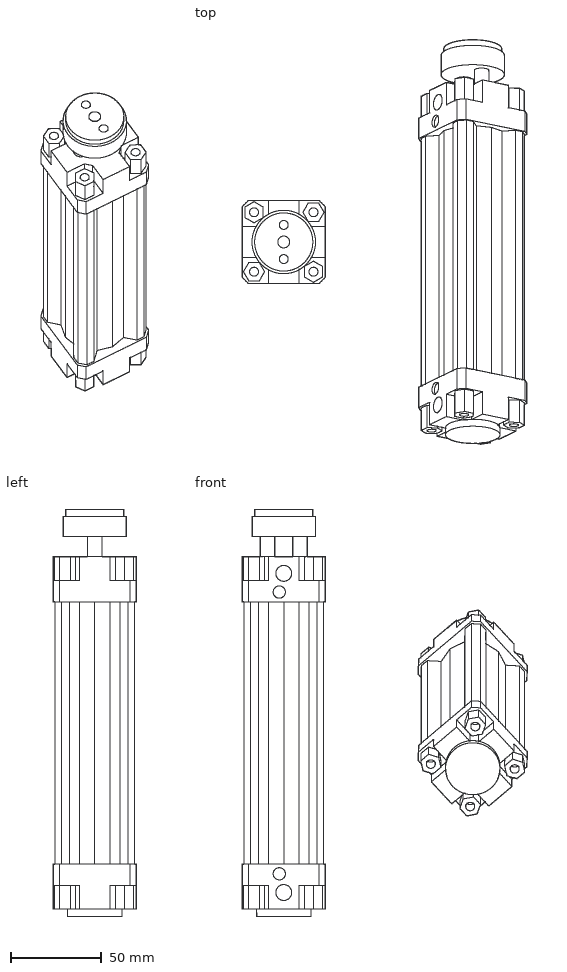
import cadquery as cq
import math

total_height = 224.0
pad_height = 4.0
housing_top = 198.0
plate_bottom = 209.0

cap_width = 46.0
cap_height = 24.9
cap_chamfer = 3.5
arm_half_width = 8.5
pocket_depth = 13.0
pocket_corner_chamfer = 3.4
pad_diameter = 30.0

nut_offset = 16.4
nut_across_flats = 10.0
nut_hole_diameter = 5.0
nut_hole_depth = 11.2
drill_tip_angle = 118.0

port_diameter = 8.7
port_inset = 9.2
port_depth = 9.0
screw_hole_diameter = 6.7
screw_hole_inset = 19.5
screw_hole_shift = -2.5
screw_hole_depth = 1.5

barrel_width = 44.0
barrel_chamfer = 3.5
groove_mouth_half = 14.0
groove_floor_half = 8.5
groove_ridge_depth = 3.1

plate_diameter = 35.0
spigot_diameter = 32.0
spigot_height = 3.8
rod_diameter = 8.0
rod_offset = 9.0
plate_hole_diameter = 6.5
plate_side_hole_diameter = 5.0
plate_side_hole_offset = 9.5
plate_hole_depth = 9.0

housing_middle = (pad_height + housing_top) / 2


def corner_points(offset):
    return [(sx * offset, sy * offset) for sx in (-1, 1) for sy in (-1, 1)]


def corner_pockets():
    """Four square pockets with one chamfered inner edge, cut down from the cap's end face."""
    size = cap_width / 2
    centre = arm_half_width + size / 2
    pockets = cq.Workplane("XY").workplane(offset=housing_top - pocket_depth)
    pockets = pockets.pushPoints(corner_points(centre)).rect(size, size).extrude(pocket_depth)
    inner_edges = cq.selectors.BoxSelector((-centre, -centre, 0), (centre, centre, total_height))
    return pockets.edges("|Z").edges(inner_edges).chamfer(pocket_corner_chamfer)


def drilled_hole(diameter, depth):
    """Drill shape pointing down from the origin, with a conical tip."""
    radius = diameter / 2
    tip = radius / math.tan(math.radians(drill_tip_angle / 2))
    profile = [(0, 0), (radius, 0), (radius, -depth), (0, -depth - tip)]
    return cq.Workplane("XZ").polyline(profile).close().revolve(360, (0, 0, 0), (0, 1, 0))


def add_corner_nuts(cap):
    """Hexagonal nuts standing in the pockets, each turned a quarter turn from its neighbours."""
    hexagon_diameter = nut_across_flats / math.cos(math.pi / 6)
    hole = drilled_hole(nut_hole_diameter, nut_hole_depth)
    for x, y in corner_points(nut_offset):
        turn = 0 if x * y > 0 else 90
        nut = cq.Workplane("XY").polygon(6, hexagon_diameter).extrude(pocket_depth)
        nut = nut.rotate((0, 0, 0), (0, 0, 1), turn)
        cap = cap.union(nut.translate((x, y, housing_top - pocket_depth)))
        cap = cap.cut(hole.translate((x, y, housing_top)))
    return cap


def front_hole(x, inset, diameter, depth):
    """Blind hole drilled into the cap from its -Y face."""
    hole = cq.Workplane("XZ").circle(diameter / 2).extrude(-depth)
    return hole.translate((x, -cap_width / 2, housing_top - inset))


def make_cap():
    """Upper end cap; the lower one is its mirror image."""
    cap = cq.Workplane("XY").workplane(offset=housing_top - cap_height)
    cap = cap.rect(cap_width, cap_width).extrude(cap_height)
    cap = cap.edges("|Z").chamfer(cap_chamfer)
    cap = add_corner_nuts(cap.cut(corner_pockets()))
    cap = cap.cut(front_hole(0, port_inset, port_diameter, port_depth))
    return cap.cut(front_hole(screw_hole_shift, screw_hole_inset, screw_hole_diameter, screw_hole_depth))


def make_barrel():
    """Chamfered square tube body with a 45 degree groove, ridged along its floor, on every side."""
    half = barrel_width / 2
    floor = -half + (groove_mouth_half - groove_floor_half)
    ridge = -half + groove_ridge_depth
    length = housing_top - pad_height - 2 * cap_height
    base = cq.Workplane("XY").workplane(offset=pad_height + cap_height)
    barrel = base.rect(barrel_width, barrel_width).extrude(length)
    barrel = barrel.edges("|Z").chamfer(barrel_chamfer)
    groove = base.polyline([
        (-groove_mouth_half, -half),
        (-groove_floor_half, floor),
        (0, ridge),
        (groove_floor_half, floor),
        (groove_mouth_half, -half),
    ]).close().extrude(length)
    for side in range(4):
        barrel = barrel.cut(groove.rotate((0, 0, 0), (0, 0, 1), 90 * side))
    return barrel


def make_housing():
    """Barrel, both end caps and the round locating pad as one solid."""
    upper_cap = make_cap()
    lower_cap = upper_cap.mirror("XY", (0, 0, housing_middle))
    pad = cq.Workplane("XY").circle(pad_diameter / 2).extrude(pad_height)
    return make_barrel().union(upper_cap).union(lower_cap).union(pad)


def make_plunger():
    """Round plate with its spigot, carried by two rods that rest on the housing."""
    spigot_bottom = total_height - spigot_height
    plate = cq.Workplane("XY").workplane(offset=plate_bottom)
    plate = plate.circle(plate_diameter / 2).extrude(spigot_bottom - plate_bottom)
    plate = plate.faces(">Z").workplane().circle(spigot_diameter / 2).extrude(spigot_height)
    plate = plate.faces(">Z").workplane().hole(plate_hole_diameter, plate_hole_depth)
    side_holes = [(0, -plate_side_hole_offset), (0, plate_side_hole_offset)]
    plate = plate.faces(">Z").workplane(origin=(0, 0, total_height)).pushPoints(side_holes)
    plate = plate.hole(plate_side_hole_diameter, plate_hole_depth)
    rods = cq.Workplane("XY").workplane(offset=housing_top)
    rods = rods.pushPoints([(-rod_offset, 0), (rod_offset, 0)]).circle(rod_diameter / 2)
    return plate.union(rods.extrude(plate_bottom - housing_top))


housing = make_housing()
plunger = make_plunger()

result = cq.Compound.makeCompound([*housing.solids().vals(), *plunger.solids().vals()])